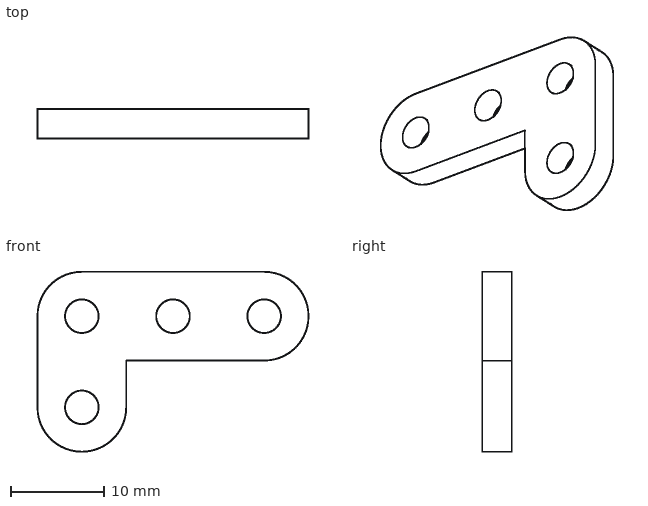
import cadquery as cq

pitch = 9.77
end_radius = 4.77
thickness = 3.17
hole_diameter = 3.58

long_arm_length = 2 * pitch
short_arm_length = pitch
hole_centres = [(0, 0), (pitch, 0), (long_arm_length, 0), (0, -short_arm_length)]


def bracket_plate():
    """L-shaped plate with round ends, a round outer corner and a sharp inner corner."""
    return (
        cq.Workplane("XZ")
        .moveTo(0, end_radius)
        .lineTo(long_arm_length, end_radius)
        .threePointArc((long_arm_length + end_radius, 0), (long_arm_length, -end_radius))
        .lineTo(end_radius, -end_radius)
        .lineTo(end_radius, -short_arm_length)
        .threePointArc((0, -short_arm_length - end_radius), (-end_radius, -short_arm_length))
        .lineTo(-end_radius, 0)
        .radiusArc((0, end_radius), end_radius)
        .close()
        .extrude(thickness)
    )


def hole_pins():
    """Cylinders that cut the through holes."""
    return cq.Workplane("XZ").pushPoints(hole_centres).circle(hole_diameter / 2).extrude(thickness)


result = bracket_plate().cut(hole_pins())